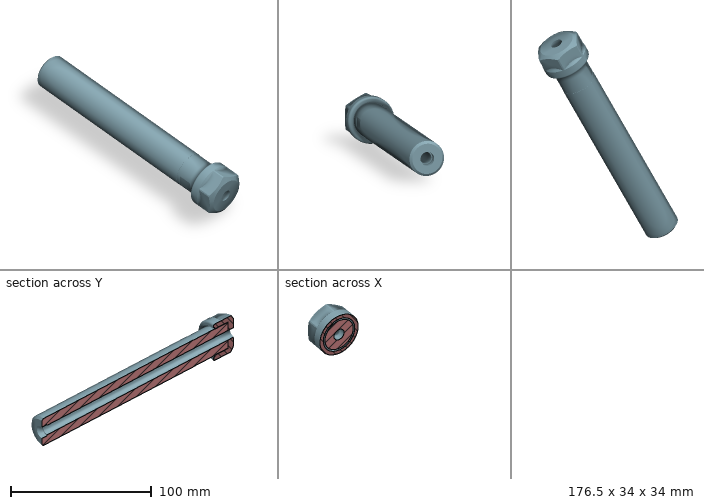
import cadquery as cq

total_length = 176.5

shank_diameter = 25.5
shank_length = 140.0
shank_chamfer_length = 1.6
shank_chamfer_depth = 1.8
neck_diameter = 25.0
bore_diameter = 8.5
entry_bore_diameter = 10.0
entry_bore_depth = 5.0

wrench_flat_start = 142.5
wrench_flat_length = 10.2
wrench_flat_spacing = 23.8

nut_start = 157.5
nut_length = total_length - nut_start
nut_diameter = 34.0
collar_length = 6.7
collar_fillet = 1.6
hex_across_flats = 30.0
nut_face_diameter = 25.5
nut_face_chamfer_length = 2.5
nut_recess_diameter = 27.0
nut_recess_depth = 1.8
nut_wall = 5.3

neck_end = total_length - nut_wall
hex_start = nut_start + collar_length


def cylinder(diameter, start, length):
    """Cylinder along +X."""
    return cq.Workplane("YZ").workplane(offset=start).circle(diameter / 2).extrude(length)


def revolve_profile(points):
    """Solid of revolution about X from (x, radius) points."""
    return cq.Workplane("XY").polyline(points).close().revolve(360, (0, 0, 0), (1, 0, 0))


def make_holder():
    shank_radius = shank_diameter / 2
    neck_radius = neck_diameter / 2
    holder = revolve_profile([
        (0, 0),
        (0, shank_radius - shank_chamfer_depth),
        (shank_chamfer_length, shank_radius),
        (shank_length, shank_radius),
        (shank_length, neck_radius),
        (neck_end, neck_radius),
        (neck_end, 0),
    ])
    flat_middle = wrench_flat_start + wrench_flat_length / 2
    for side in (-1, 1):
        cutter = cq.Workplane("XY").box(wrench_flat_length, shank_diameter, shank_diameter).translate(
            (flat_middle, side * (wrench_flat_spacing + shank_diameter) / 2, 0)
        )
        holder = holder.cut(cutter)
    holder = holder.cut(cylinder(bore_diameter, 0, neck_end))
    return holder.cut(cylinder(entry_bore_diameter, 0, entry_bore_depth))


def make_nut():
    nut_radius = nut_diameter / 2
    blank = cylinder(nut_diameter, nut_start, nut_length).faces("<X").edges().fillet(collar_fillet)
    front_envelope = revolve_profile([
        (nut_start, 0),
        (nut_start, nut_radius),
        (total_length - nut_face_chamfer_length, nut_radius),
        (total_length, nut_face_diameter / 2),
        (total_length, 0),
    ])
    blank = blank.intersect(front_envelope)

    hexagon = (
        cq.Workplane("YZ")
        .workplane(offset=nut_start)
        .polygon(6, hex_across_flats, circumscribed=True)
        .extrude(nut_length)
    )
    collar = revolve_profile([
        (nut_start, 0),
        (nut_start, nut_radius),
        (hex_start, nut_radius),
        (hex_start + nut_radius - bore_diameter / 2, bore_diameter / 2),
        (hex_start + nut_radius - bore_diameter / 2, 0),
    ])
    nut = blank.intersect(hexagon.union(collar))

    nut = nut.cut(cylinder(nut_recess_diameter, nut_start, nut_recess_depth))
    nut = nut.cut(cylinder(neck_diameter, nut_start, neck_end - nut_start))
    return nut.cut(cylinder(bore_diameter, nut_start, nut_length))


holder = make_holder()
nut = make_nut()
result = cq.Compound.makeCompound([*holder.solids().vals(), *nut.solids().vals()])